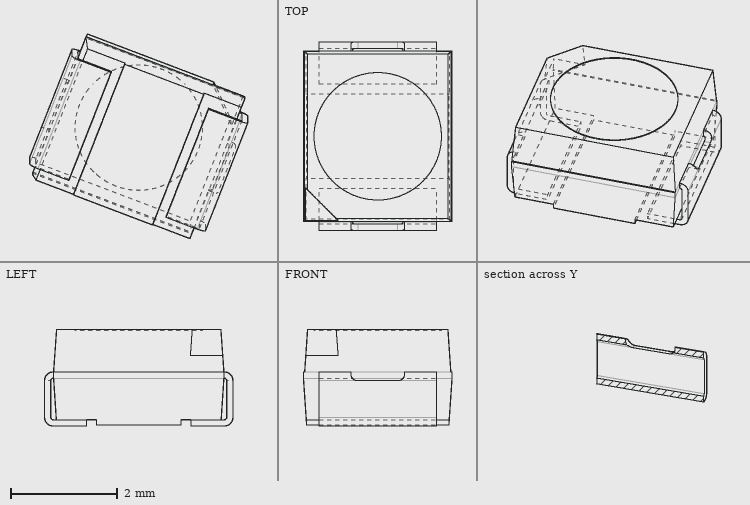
import cadquery as cq

LENGTH = 3.55
WIDTH = 2.8
HEIGHT = 1.82

LEAD_THICKNESS = 0.12
LEAD_WIDTH = 2.215
LEAD_TOP = 1.022
LEAD_FOOT = 0.795
BEND_RADIUS = 0.167
INNER_BEND_RADIUS = BEND_RADIUS - LEAD_THICKNESS

NOTCH_WIDTH = 1.015
NOTCH_FLOOR = LEAD_TOP - BEND_RADIUS
NOTCH_RADIUS = 0.13

BODY_LENGTH = 3.21
BAND_BOTTOM = LEAD_TOP - LEAD_THICKNESS
BODY_BOTTOM = LEAD_THICKNESS
LOWER_WIDTH = 2.695
LOWER_LENGTH = 3.105
UPPER_WIDTH = 2.755
TOP_WIDTH = 2.645
TOP_LENGTH = 3.095

PAD_BOTTOM = 0.02
PAD_LENGTH = 1.598

WINDOW_DIAMETER = 2.4
WINDOW_DEPTH = 0.018

MARK_OFFSET = 2.33
MARK_LEDGE = 1.328


def tapered_block(bottom_size, bottom_z, top_size, top_z):
    """Rectangular block whose four sides slope between two levels."""
    return (
        cq.Workplane("XY", origin=(0, 0, bottom_z))
        .rect(*bottom_size)
        .workplane(offset=top_z - bottom_z)
        .rect(*top_size)
        .loft(ruled=True, combine=True)
    )


def make_body():
    """Lower and upper tapered halves joined by a straight band."""
    band_size = (WIDTH, BODY_LENGTH)
    lower = tapered_block((LOWER_WIDTH, LOWER_LENGTH), BODY_BOTTOM, band_size, BAND_BOTTOM)
    band = tapered_block(band_size, BAND_BOTTOM, band_size, LEAD_TOP)
    upper = tapered_block((UPPER_WIDTH, BODY_LENGTH), LEAD_TOP, (TOP_WIDTH, TOP_LENGTH), HEIGHT)
    side_slope = (WIDTH - LOWER_WIDTH) / (BAND_BOTTOM - BODY_BOTTOM)
    pad_width = LOWER_WIDTH - side_slope * (BODY_BOTTOM - PAD_BOTTOM)
    pad = tapered_block((pad_width, PAD_LENGTH), PAD_BOTTOM, (LOWER_WIDTH, PAD_LENGTH), BODY_BOTTOM)
    return lower.union(band).union(upper).union(pad).clean()


def make_window():
    return (
        cq.Workplane("XY", origin=(0, 0, HEIGHT - WINDOW_DEPTH))
        .circle(WINDOW_DIAMETER / 2)
        .extrude(WINDOW_DEPTH)
    )


def make_corner_mark():
    """Triangular cutter for the corner at -X, -Y."""
    return (
        cq.Workplane("XY", origin=(0, 0, MARK_LEDGE))
        .moveTo(-MARK_OFFSET, 0)
        .lineTo(0, -MARK_OFFSET)
        .lineTo(-MARK_OFFSET, -MARK_OFFSET)
        .close()
        .extrude(HEIGHT - MARK_LEDGE)
    )


def make_front_lead():
    """C-shaped lead at -Y: top arm, outer wall and foot, with a notched upper bend."""
    outer_y = -LENGTH / 2
    inner_y = outer_y + LEAD_THICKNESS
    arm_end = -BODY_LENGTH / 2
    foot_end = outer_y + LEAD_FOOT

    outer = (
        cq.Workplane("YZ")
        .rect(LENGTH, LEAD_TOP)
        .extrude(LEAD_WIDTH / 2, both=True)
        .edges("|X")
        .fillet(BEND_RADIUS)
    )
    inner = (
        cq.Workplane("YZ")
        .rect(-2 * inner_y, LEAD_TOP - 2 * LEAD_THICKNESS)
        .extrude(LEAD_WIDTH / 2, both=True)
        .edges("|X")
        .fillet(INNER_BEND_RADIUS)
    )
    loop = outer.cut(inner).translate((0, 0, LEAD_TOP / 2))

    upper_span = cq.Workplane("XY").box(
        LEAD_WIDTH, arm_end - outer_y, LEAD_TOP - LEAD_THICKNESS, centered=(True, False, False)
    ).translate((0, outer_y, LEAD_THICKNESS))
    foot_span = cq.Workplane("XY").box(
        LEAD_WIDTH, foot_end - outer_y, LEAD_THICKNESS, centered=(True, False, False)
    ).translate((0, outer_y, 0))
    lead = loop.intersect(upper_span.union(foot_span))

    notch = (
        cq.Workplane("XY")
        .box(NOTCH_WIDTH, arm_end - outer_y, LEAD_TOP - NOTCH_FLOOR, centered=(True, False, False))
        .edges("|Y and <Z")
        .fillet(NOTCH_RADIUS)
        .translate((0, outer_y, NOTCH_FLOOR))
    )
    return lead.cut(notch)


front_lead = make_front_lead()
back_lead = front_lead.mirror("XZ")
body = make_body().cut(make_window()).cut(make_corner_mark())
result = body.union(front_lead).union(back_lead)